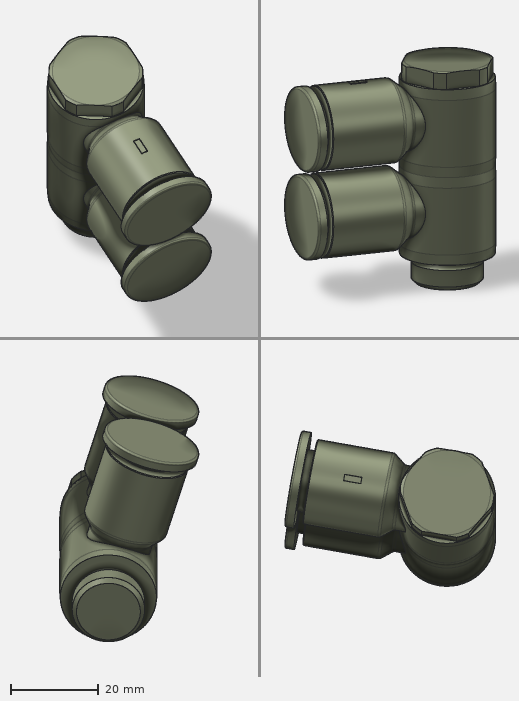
import cadquery as cq
import math

body_radius = 11.2
body_end_radius = 11.05
barrel_height = 21.0
barrel_count = 2
taper_height = 2.5
body_height = barrel_count * barrel_height

spigot_length = 6.95
spigot_radius = 8.33
spigot_chamfer = 1.0
neck_radius = 7.33
neck_fillet = 0.4
cone_top_depth = 1.0
cone_bottom_depth = cone_top_depth + spigot_radius - neck_radius

head_height = 4.05
head_across_flats = 20.0
head_corner_radius = 10.8
head_sides = 6
head_chamfer_angle = 15.0

port_height_in_barrel = 12.0
root_radius = 7.57
root_end_x = 11.1
cone_end_x = 14.0
root_fillet = 1.0
port_radius = 9.85
port_end_x = 31.9
port_end_chamfer = 0.2
port_shoulder_fillet = 1.0
sleeve_radius = 7.2
edge_search_margin = 0.1

collar_start_x = 33.7
collar_end_x = 35.9
collar_width = 22.5
collar_height = 19.6
collar_fillet = 0.5

tag_start_x = 20.0
tag_length = 4.0
tag_width = 1.5
tag_rise = 0.15


def make_barrel(bottom):
    """Barrel whose ends taper slightly inwards."""
    top = bottom + barrel_height
    profile = (
        cq.Workplane("XZ")
        .moveTo(0, bottom)
        .lineTo(body_end_radius, bottom)
        .lineTo(body_radius, bottom + taper_height)
        .lineTo(body_radius, top - taper_height)
        .lineTo(body_end_radius, top)
        .lineTo(0, top)
        .close()
    )
    return profile.revolve(360, (0, 0, 0), (0, 1, 0))


def make_spigot():
    """Spigot with an undercut neck, a conical shoulder and a chamfered tip."""
    arc_offset = neck_fillet * (1 - math.sqrt(0.5))
    profile = (
        cq.Workplane("XZ")
        .moveTo(0, 0)
        .lineTo(neck_radius + neck_fillet, 0)
        .threePointArc(
            (neck_radius + arc_offset, -arc_offset),
            (neck_radius, -neck_fillet),
        )
        .lineTo(neck_radius, -cone_top_depth)
        .lineTo(spigot_radius, -cone_bottom_depth)
        .lineTo(spigot_radius, spigot_chamfer - spigot_length)
        .lineTo(spigot_radius - spigot_chamfer, -spigot_length)
        .lineTo(0, -spigot_length)
        .close()
    )
    return profile.revolve(360, (0, 0, 0), (0, 1, 0))


def make_head():
    """Hexagon with rounded corners and a shallow conical top chamfer."""
    across_corners = head_across_flats / math.cos(math.pi / head_sides)
    hexagon = (
        cq.Workplane("XY")
        .workplane(offset=body_height)
        .polygon(head_sides, across_corners)
        .extrude(head_height)
    )
    top = body_height + head_height
    flat_radius = head_across_flats / 2
    chamfer_drop = (head_corner_radius - flat_radius) * math.tan(math.radians(head_chamfer_angle))
    envelope = (
        cq.Workplane("XZ")
        .moveTo(0, body_height)
        .lineTo(head_corner_radius, body_height)
        .lineTo(head_corner_radius, top - chamfer_drop)
        .lineTo(flat_radius, top)
        .lineTo(0, top)
        .close()
        .revolve(360, (0, 0, 0), (0, 1, 0))
    )
    return hexagon.intersect(envelope)


def round_edge_at(tube, x, radius):
    """Fillet the circular edge of a port tube whose centre is at the given X."""
    edge_box = cq.selectors.BoxSelector(
        (x - edge_search_margin, -port_radius, -port_radius),
        (x + edge_search_margin, port_radius, port_radius),
    )
    return tube.edges(edge_box).fillet(radius)


def make_port_tube():
    """Turned port from the body axis to the collar, lying along X at Z = 0."""
    tube = (
        cq.Workplane("XY")
        .lineTo(0, root_radius)
        .lineTo(root_end_x, root_radius)
        .lineTo(cone_end_x, port_radius)
        .lineTo(port_end_x - port_end_chamfer, port_radius)
        .lineTo(port_end_x, port_radius - port_end_chamfer)
        .lineTo(port_end_x, sleeve_radius)
        .lineTo(collar_start_x, sleeve_radius)
        .lineTo(collar_start_x, 0)
        .close()
        .revolve(360, (0, 0, 0), (1, 0, 0))
    )
    tube = round_edge_at(tube, cone_end_x, port_shoulder_fillet)
    return round_edge_at(tube, root_end_x, root_fillet)


def make_collar():
    """Elliptical collar with a rounded outer rim, centred on Z = 0."""
    return (
        cq.Workplane("YZ")
        .workplane(offset=collar_start_x)
        .ellipse(collar_width / 2, collar_height / 2)
        .extrude(collar_end_x - collar_start_x)
        .faces(">X")
        .edges()
        .fillet(collar_fillet)
    )


def port_axis_z(index):
    """Height of the port axis on the barrel with the given index."""
    return index * barrel_height + port_height_in_barrel


def make_tag(port_z):
    """Flat rectangular tag standing just proud of the port."""
    tag_height = port_radius + tag_rise
    return (
        cq.Workplane("XY")
        .box(tag_length, tag_width, tag_height, centered=(False, True, False))
        .translate((tag_start_x, 0, port_z))
    )


port = make_port_tube().union(make_collar())

result = make_spigot().union(make_head())
for index in range(barrel_count):
    result = result.union(make_barrel(index * barrel_height))
    result = result.union(port.translate((0, 0, port_axis_z(index))))
result = result.union(make_tag(port_axis_z(barrel_count - 1)))